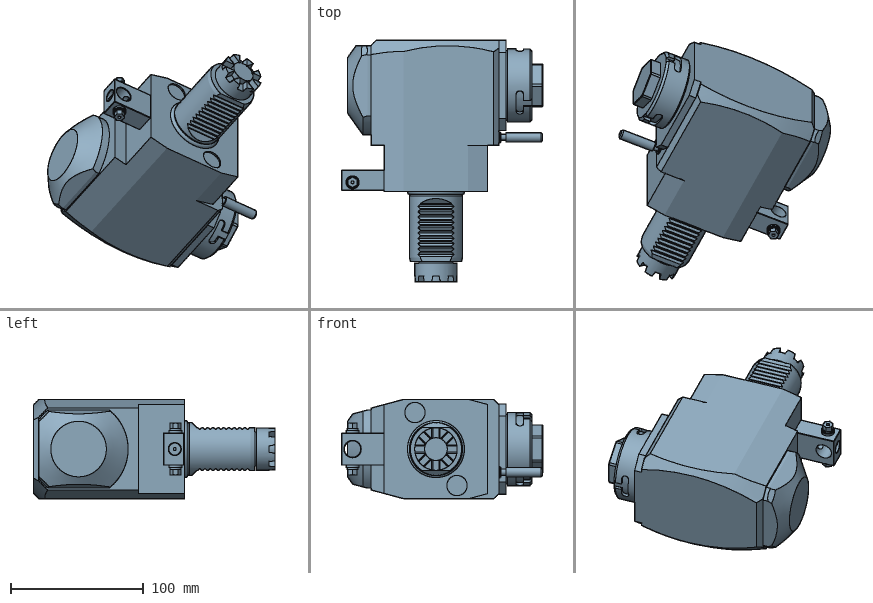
import cadquery as cq
import math


HEIGHT = 75.0
HALF_HEIGHT = HEIGHT / 2
BACK_Y = 114.0
SPINDLE_Y = 79.9
STEP_Y = 34.8
UPPER_LEFT_X = -48.8
UPPER_RIGHT_X = 47.3
LOWER_HALF_WIDTH = 39.0
TAPER_START_X = 24.2
TAPER_SLOPE = math.tan(math.radians(15))
EDGE_CHAMFER = 3.8
BACK_ARC_RADIUS = 183.8
BACK_ARC_CENTER_X = 9.1
BACK_CHAMFER = 4.2
PLUG_RADIUS = 7.6
PLUG_RECESS = 1.3
PLUG_X = 15.8
PLUG_Z = 27.5

CAP_LEFT_X = -66.6
CAP_RIM_X = -55.0
CAP_TAPER_X = -51.5
CAP_FACE_RADIUS = 21.0
CAP_RADIUS = 37.3
CAP_HALF_HEIGHT = 29.5
CAP_BACK_Y = 109.7

PLATE_SIDE = 2 * (BACK_Y - SPINDLE_Y)
PLATE_CORNER = 9.1
PLATE_RIGHT_X = 52.8
NECK_RADIUS = 26.4
NUT_LEFT_X = 53.7
NUT_RIGHT_X = 72.5
NUT_RADIUS = 27.7
NUT_CHAMFER = 1.8
HEX_RIGHT_X = 80.5
HEX_ACROSS_FLATS = 32.4
HEX_CORNER_RADIUS = 18.2
HEX_CHAMFER = 0.5
NUT_SLOT_X = 63.2
NUT_SLOT_WIDTH = 5.5
NUT_SLOT_DEPTH = 2.2
NUT_SLOT_ARC = 42.0
NUT_SLOT_ANGLE = 30.0
NUT_SLOT_COUNT = 3
NUT_NOTCH_WIDTH = 5.3

PIN_Y = 40.8
PIN_Z = -17.5
PIN_FLANGE_RADIUS = 4.2
PIN_FLANGE_RIGHT_X = 48.8
PIN_FLANGE_CHAMFER = 0.7
PIN_NECK_RADIUS = 2.4
PIN_RADIUS = 3.6
PIN_LEFT_X = 52.6
PIN_RIGHT_X = 80.3
PIN_CHAMFER = 1.1

SHANK_RADIUS = 20.0
SHANK_START_RADIUS = 19.5
SHANK_START_TAPER = 1.1
SHANK_END_Y = -52.8
SHANK_TAPER_LENGTH = 3.0
SHANK_END_RADIUS = 19.3
COLLAR_RADIUS = 21.5
COLLAR_LENGTH = 2.4
COLLAR_ROUND = 1.8
FLAT_Z = 16.2
FLAT_START_Y = -9.1
TOOTH_DEPTH = 1.5
TOOTH_HALF_WIDTH = 1.6
TOOTH_PITCH = 4.0
TOOTH_FIRST_Y = -11.3
TOOTH_COUNT = 10

COUPLING_END_Y = -68.0
COUPLING_START_Y = -53.9
COUPLING_RADIUS = 16.0
COUPLING_NECK_RADIUS = 13.0
COUPLING_HUB_RADIUS = 8.5
COUPLING_SLOT_DEPTH = 4.5
COUPLING_SLOT_BOTTOM = 4.7
COUPLING_SLOT_TOP = 6.4
COUPLING_SLOT_COUNT = 8

BRACKET_LEFT_X = -71.0
BRACKET_FRONT_Y = 0.7
BRACKET_BACK_Y = 16.0
BRACKET_HEIGHT = 24.4
BRACKET_CHAMFER = 0.4
BRACKET_HOLE_X = -62.8
BRACKET_HOLE_Y = 7.5
BRACKET_HOLE_RADIUS = 6.2
BRACKET_HOLE_CHAMFER = 0.4
SIDE_HOLE_RADIUS = 4.5
SIDE_HOLE_END_X = -54.6
SIDE_BORE_RADIUS = 1.1
SIDE_BORE_DEPTH = 1.8
SCREW_Y = 7.0
SCREW_FLANGE_RADIUS = 5.0
SCREW_FLANGE_HEIGHT = 1.8
SCREW_RING_RADIUS = 4.2
SCREW_RING_HEIGHT = 1.3
SCREW_HEX_ACROSS_FLATS = 7.0
SCREW_TOP_Z = 19.5
SCREW_BORE_RADIUS = 1.1
SCREW_BORE_DEPTH = 2.7


def disc(radius, start_x, end_x, y, z):
    """Cylinder along X between two X positions."""
    plane = cq.Workplane("YZ", origin=(start_x, y, z))
    return plane.circle(radius).extrude(end_x - start_x)


def revolve_along_y(points):
    """Solid of revolution about the shank axis from (radius, y) points."""
    return cq.Workplane("XY").polyline(points).close().revolve(360, (0, 0), (0, 1))


def extrude_xz(points, start_y, end_y):
    """Prism along Y with an outline of (x, z) points."""
    plane = cq.Workplane("XZ", origin=(0, start_y, 0))
    return plane.polyline(points).close().extrude(start_y - end_y)


def with_mirrored_z(points):
    """Close an upper outline with its mirror image below Z = 0."""
    return points + [(x, -z) for x, z in reversed(points)]


def tapered_z(x):
    """Half height of the housing on its 15 degree tapers."""
    return HALF_HEIGHT - (abs(x) - TAPER_START_X) * TAPER_SLOPE


def cut_back_edges(body):
    """Trim the top and bottom back edges with 45 degree cuts that arch along X."""
    crest = (BACK_Y + HALF_HEIGHT - BACK_CHAMFER) / math.sqrt(2)
    for side in (1, -1):
        plane = cq.Plane(origin=(0, 0, 0), xDir=(1, 0, 0), normal=(0, -side, 1))
        limit = (
            cq.Workplane(plane)
            .center(BACK_ARC_CENTER_X, crest - BACK_ARC_RADIUS)
            .circle(BACK_ARC_RADIUS)
            .extrude(BACK_Y + HEIGHT, both=True)
        )
        body = body.intersect(limit)
    return body


def make_housing():
    lower_outline = with_mirrored_z([
        (-LOWER_HALF_WIDTH, tapered_z(LOWER_HALF_WIDTH)),
        (-TAPER_START_X, HALF_HEIGHT),
        (TAPER_START_X, HALF_HEIGHT),
        (LOWER_HALF_WIDTH, tapered_z(LOWER_HALF_WIDTH)),
    ])
    upper_outline = with_mirrored_z([
        (UPPER_LEFT_X, tapered_z(UPPER_LEFT_X)),
        (-TAPER_START_X, HALF_HEIGHT),
        (UPPER_RIGHT_X - EDGE_CHAMFER, HALF_HEIGHT),
        (UPPER_RIGHT_X, HALF_HEIGHT - EDGE_CHAMFER),
    ])
    upper = extrude_xz(upper_outline, STEP_Y, BACK_Y)
    upper = upper.edges("|Z and <X and >Y").chamfer(EDGE_CHAMFER)
    housing = cut_back_edges(upper).union(extrude_xz(lower_outline, 0, STEP_Y))
    for side in (1, -1):
        plane = cq.Workplane("XZ", origin=(-side * PLUG_X, 0, side * PLUG_Z))
        housing = housing.cut(plane.circle(PLUG_RADIUS).extrude(-PLUG_RECESS))
    return housing


def make_cap():
    cone = (
        cq.Workplane("XY")
        .polyline([
            (CAP_LEFT_X, SPINDLE_Y),
            (CAP_LEFT_X, SPINDLE_Y + CAP_FACE_RADIUS),
            (CAP_RIM_X, SPINDLE_Y + CAP_RADIUS),
            (UPPER_LEFT_X, SPINDLE_Y + CAP_RADIUS),
            (UPPER_LEFT_X, SPINDLE_Y),
        ])
        .close()
        .revolve(360, (0, SPINDLE_Y), (1, SPINDLE_Y))
    )
    left_z = CAP_HALF_HEIGHT - (CAP_TAPER_X - CAP_LEFT_X) * TAPER_SLOPE
    side_outline = with_mirrored_z([
        (CAP_LEFT_X, left_z),
        (CAP_TAPER_X, CAP_HALF_HEIGHT),
        (UPPER_LEFT_X, CAP_HALF_HEIGHT),
    ])
    cap = cone.intersect(extrude_xz(side_outline, STEP_Y, CAP_BACK_Y))
    return cut_back_edges(cap)


def turn_about_spindle(shape, angle):
    """Rotate a shape about the spindle axis, angles running from +Z towards -Y."""
    return shape.rotate((0, SPINDLE_Y, 0), (1, SPINDLE_Y, 0), angle)


def make_nut_slot():
    """Curved slot in the nut rim, centred on +Z, with a notch to the front face."""
    half_width = NUT_SLOT_WIDTH / 2
    slot_left_x = NUT_SLOT_X - half_width
    slot_right_x = NUT_SLOT_X + half_width
    end_angle = NUT_SLOT_ARC / 2 - math.degrees(half_width / NUT_RADIUS)
    core = disc(NUT_RADIUS - NUT_SLOT_DEPTH, NUT_LEFT_X, NUT_RIGHT_X, SPINDLE_Y, 0)

    sector_height = 2 * NUT_RADIUS
    sector_half_width = sector_height * math.tan(math.radians(end_angle))
    slot = (
        cq.Workplane("YZ", origin=(slot_left_x, SPINDLE_Y, 0))
        .polyline([(0, 0), (sector_half_width, sector_height), (-sector_half_width, sector_height)])
        .close()
        .extrude(slot_right_x - slot_left_x)
    )
    notch_length = NUT_RIGHT_X - NUT_SLOT_X
    notch = (
        cq.Workplane("XY", origin=(NUT_SLOT_X + notch_length / 2, SPINDLE_Y, 0))
        .rect(notch_length, NUT_NOTCH_WIDTH)
        .extrude(sector_height)
    )
    round_end = (
        cq.Workplane("XY", origin=(NUT_SLOT_X, SPINDLE_Y, 0))
        .circle(half_width)
        .extrude(sector_height)
    )
    slot = slot.union(notch)
    for angle in (end_angle, -end_angle):
        slot = slot.union(turn_about_spindle(round_end, angle))
    return slot.cut(core)


def make_nut():
    nut = disc(NUT_RADIUS, NUT_LEFT_X, NUT_RIGHT_X, SPINDLE_Y, 0)
    nut = nut.faces(">X").chamfer(NUT_CHAMFER)
    slot = make_nut_slot()
    for index in range(NUT_SLOT_COUNT):
        nut = nut.cut(turn_about_spindle(slot, NUT_SLOT_ANGLE + index * 360 / NUT_SLOT_COUNT))
    return nut


def make_spindle_nose():
    plate = (
        cq.Workplane("YZ", origin=(UPPER_RIGHT_X, SPINDLE_Y, 0))
        .rect(PLATE_SIDE, PLATE_SIDE)
        .extrude(PLATE_RIGHT_X - UPPER_RIGHT_X)
        .edges("|X")
        .chamfer(PLATE_CORNER)
    )
    neck = disc(NECK_RADIUS, PLATE_RIGHT_X, NUT_LEFT_X, SPINDLE_Y, 0)
    hexagon = (
        cq.Workplane("YZ", origin=(NUT_RIGHT_X, SPINDLE_Y, 0))
        .transformed(rotate=(0, 0, 90))
        .polygon(6, HEX_ACROSS_FLATS / math.cos(math.radians(30)))
        .extrude(HEX_RIGHT_X - NUT_RIGHT_X)
        .intersect(disc(HEX_CORNER_RADIUS, NUT_RIGHT_X, HEX_RIGHT_X, SPINDLE_Y, 0))
        .faces(">X")
        .chamfer(HEX_CHAMFER)
    )
    return plate.union(neck).union(make_nut()).union(hexagon)


def make_coolant_pin():
    flange = disc(PIN_FLANGE_RADIUS, UPPER_RIGHT_X, PIN_FLANGE_RIGHT_X, PIN_Y, PIN_Z)
    flange = flange.faces(">X").chamfer(PIN_FLANGE_CHAMFER)
    neck = disc(PIN_NECK_RADIUS, PIN_FLANGE_RIGHT_X, PIN_LEFT_X, PIN_Y, PIN_Z)
    pin = disc(PIN_RADIUS, PIN_LEFT_X, PIN_RIGHT_X, PIN_Y, PIN_Z).faces(">X").chamfer(PIN_CHAMFER)
    return flange.union(neck).union(pin)


def make_shank():
    shank = revolve_along_y([
        (0, 0),
        (SHANK_START_RADIUS, 0),
        (SHANK_START_RADIUS, -COLLAR_LENGTH),
        (SHANK_RADIUS, -COLLAR_LENGTH - SHANK_START_TAPER),
        (SHANK_RADIUS, SHANK_END_Y + SHANK_TAPER_LENGTH),
        (SHANK_END_RADIUS, SHANK_END_Y),
        (0, SHANK_END_Y),
    ])
    run_out = SHANK_RADIUS - FLAT_Z
    flat_outline = [(FLAT_START_Y + run_out, SHANK_RADIUS), (FLAT_START_Y, FLAT_Z)]
    for index in range(TOOTH_COUNT):
        root_y = TOOTH_FIRST_Y - index * TOOTH_PITCH
        flat_outline += [
            (root_y + TOOTH_HALF_WIDTH, FLAT_Z),
            (root_y, FLAT_Z - TOOTH_DEPTH),
            (root_y - TOOTH_HALF_WIDTH, FLAT_Z),
        ]
    flat_outline += [(SHANK_END_Y, FLAT_Z), (SHANK_END_Y, SHANK_RADIUS)]
    flat = cq.Workplane("YZ").polyline(flat_outline).close().extrude(SHANK_RADIUS, both=True)
    shank = shank.cut(flat).cut(flat.mirror("XY"))
    collar = cq.Workplane("XZ").circle(COLLAR_RADIUS).extrude(COLLAR_LENGTH)
    collar = collar.faces("<Y").edges().fillet(COLLAR_ROUND)
    return shank.union(collar)


def make_coupling():
    coupling = revolve_along_y([
        (0, SHANK_END_Y),
        (COUPLING_NECK_RADIUS, SHANK_END_Y),
        (COUPLING_NECK_RADIUS, COUPLING_START_Y),
        (COUPLING_RADIUS, COUPLING_START_Y),
        (COUPLING_RADIUS, COUPLING_END_Y),
        (0, COUPLING_END_Y),
    ])
    slot_floor_y = COUPLING_END_Y + COUPLING_SLOT_DEPTH
    hub_plane = cq.Workplane("XZ", origin=(0, slot_floor_y, 0))
    hub = hub_plane.circle(COUPLING_HUB_RADIUS).extrude(COUPLING_SLOT_DEPTH)
    slot = (
        cq.Workplane("XY")
        .polyline([
            (-COUPLING_SLOT_BOTTOM / 2, slot_floor_y),
            (COUPLING_SLOT_BOTTOM / 2, slot_floor_y),
            (COUPLING_SLOT_TOP / 2, COUPLING_END_Y),
            (-COUPLING_SLOT_TOP / 2, COUPLING_END_Y),
        ])
        .close()
        .extrude(COUPLING_RADIUS)
        .cut(hub)
    )
    for index in range(COUPLING_SLOT_COUNT):
        angle = index * 360 / COUPLING_SLOT_COUNT
        coupling = coupling.cut(slot.rotate((0, 0, 0), (0, 1, 0), angle))
    return coupling


def make_bracket_screw():
    """Flanged hexagon screw head standing on the top of the bracket."""
    bracket_top_z = BRACKET_HEIGHT / 2
    hex_height = SCREW_TOP_Z - bracket_top_z - SCREW_FLANGE_HEIGHT - SCREW_RING_HEIGHT
    return (
        cq.Workplane("XY", origin=(BRACKET_HOLE_X, SCREW_Y, bracket_top_z))
        .circle(SCREW_FLANGE_RADIUS)
        .extrude(SCREW_FLANGE_HEIGHT)
        .faces(">Z")
        .workplane()
        .circle(SCREW_RING_RADIUS)
        .extrude(SCREW_RING_HEIGHT)
        .faces(">Z")
        .workplane()
        .transformed(rotate=(0, 0, 90))
        .polygon(6, SCREW_HEX_ACROSS_FLATS / math.cos(math.radians(30)))
        .extrude(hex_height)
        .faces(">Z")
        .workplane()
        .hole(2 * SCREW_BORE_RADIUS, SCREW_BORE_DEPTH)
    )


def make_bracket():
    half_height = BRACKET_HEIGHT / 2
    block = (
        cq.Workplane("XY", origin=(0, 0, -half_height))
        .moveTo(BRACKET_LEFT_X, BRACKET_FRONT_Y)
        .lineTo(-LOWER_HALF_WIDTH, BRACKET_FRONT_Y)
        .lineTo(-LOWER_HALF_WIDTH, BRACKET_BACK_Y)
        .lineTo(BRACKET_LEFT_X, BRACKET_BACK_Y)
        .close()
        .extrude(BRACKET_HEIGHT)
        .edges("not >X")
        .chamfer(BRACKET_CHAMFER)
    )
    through_hole = (
        cq.Workplane("XZ", origin=(BRACKET_HOLE_X, BRACKET_BACK_Y, 0))
        .circle(BRACKET_HOLE_RADIUS)
        .extrude(BRACKET_BACK_Y - BRACKET_FRONT_Y)
    )
    side_bore_end_x = SIDE_HOLE_END_X + SIDE_BORE_DEPTH
    side_hole = disc(SIDE_HOLE_RADIUS, BRACKET_LEFT_X, SIDE_HOLE_END_X, BRACKET_HOLE_Y, 0)
    side_bore = disc(SIDE_BORE_RADIUS, BRACKET_LEFT_X, side_bore_end_x, BRACKET_HOLE_Y, 0)
    block = block.cut(through_hole)
    block = block.faces("<Y").edges("%CIRCLE").chamfer(BRACKET_HOLE_CHAMFER)
    block = block.cut(side_hole)
    block = block.faces("<X").edges("%CIRCLE").chamfer(BRACKET_HOLE_CHAMFER)
    block = block.cut(side_bore)
    screw = make_bracket_screw()
    return block.union(screw).union(screw.mirror("XY"))



result = (
    make_housing()
    .union(make_cap())
    .union(make_spindle_nose())
    .union(make_coolant_pin())
    .union(make_shank())
    .union(make_coupling())
    .union(make_bracket())
)